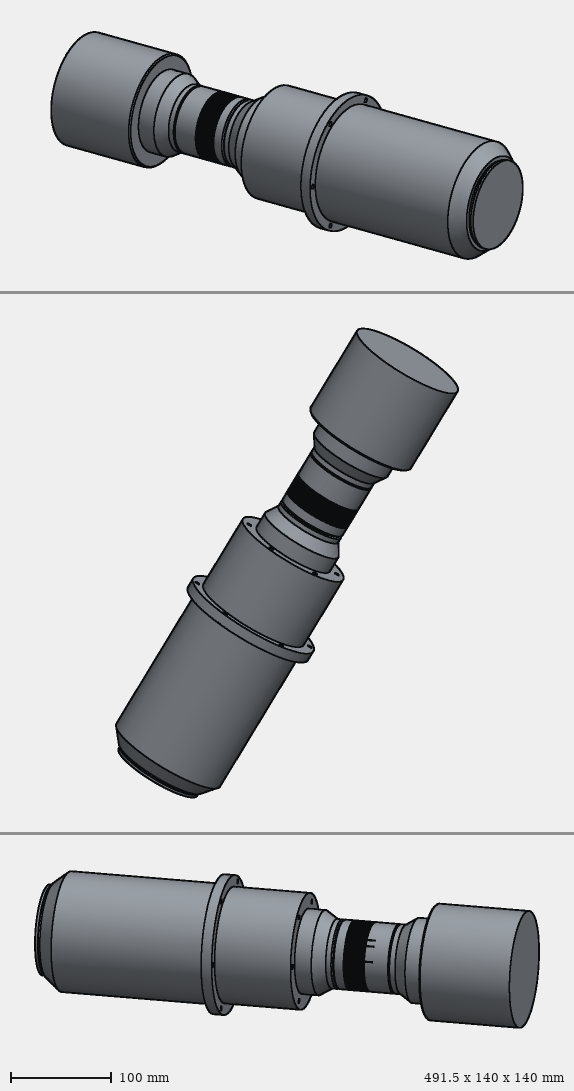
import cadquery as cq

length = 491.5
head_end = 93.5
front_cone_start = 111.5
front_cone_end = 124.0
knurl_start = 155.5
knurl_end = 177.0
rear_cone_start = 195.0
rear_cone_end = 208.0
shoulder = 225.0
flange_start = 303.0
flange_end = 314.0
nose_start = 470.5
nose_end = 485.5
end_disc_start = 488.5

head_radius = 58.5
collar_radius = 42.5
neck_radius = 35.0
front_body_radius = head_radius
flange_radius = 70.0
rear_body_radius = 60.5
nose_tip_radius = 48.5
end_neck_radius = 44.0
end_disc_radius = 45.5

head_chamfer = 1.5
seam_start = 129.5
seam_width = 1.5
seam_depth = 0.5
groove_start = 186.5
groove_width = 3.0
groove_depth = 1.5

knurl_notch_count = 120
knurl_notch_width = 1.0
knurl_notch_depth = 0.5

mark_angles = (43, 54, 80)
mark_start = 147.5
mark_width = 0.5
mark_depth = 0.5

holes_per_ring = 6
flange_hole_circle = 65.0
flange_hole_diameter = 4.5
shoulder_hole_circle = 50.5
shoulder_hole_diameter = 4.5
shoulder_hole_depth = 10.0


def turned_body():
    """Revolve the stepped outline about the X axis."""
    outline = [
        (0, 0),
        (0, head_radius),
        (head_end - head_chamfer, head_radius),
        (head_end, head_radius - head_chamfer),
        (head_end, collar_radius),
        (front_cone_start, collar_radius),
        (front_cone_end, neck_radius),
        (groove_start, neck_radius),
        (groove_start + groove_width / 2, neck_radius - groove_depth),
        (groove_start + groove_width, neck_radius),
        (rear_cone_start, neck_radius),
        (rear_cone_end, collar_radius),
        (shoulder, collar_radius),
        (shoulder, front_body_radius),
        (flange_start, front_body_radius),
        (flange_start, flange_radius),
        (flange_end, flange_radius),
        (flange_end, rear_body_radius),
        (nose_start, rear_body_radius),
        (nose_end, nose_tip_radius),
        (nose_end, end_neck_radius),
        (end_disc_start, end_neck_radius),
        (end_disc_start, end_disc_radius),
        (length, end_disc_radius),
        (length, 0),
    ]
    return cq.Workplane("XY").polyline(outline).close().revolve(360, (0, 0, 0), (1, 0, 0))


def cross_plane(x):
    """Workplane across the axis at station x, facing +X."""
    return cq.Workplane("YZ", origin=(x, 0, 0))


def seam_groove():
    """Ring that cuts a shallow square groove around the neck."""
    seam_floor_radius = neck_radius - seam_depth
    return cross_plane(seam_start).circle(collar_radius).circle(seam_floor_radius).extrude(seam_width)


def knurl_notches():
    """Full circle of bars that cut fine lengthwise notches into the neck."""
    return (
        cross_plane(knurl_start)
        .polarArray(neck_radius, 0, 360, knurl_notch_count)
        .rect(2 * knurl_notch_depth, knurl_notch_width)
        .extrude(knurl_end - knurl_start)
    )


def index_mark(angle):
    """Thin bar that cuts one line along the neck."""
    bar = cq.Workplane("XY").box(
        knurl_start - mark_start, mark_width, 2 * mark_depth, centered=(False, True, True)
    )
    return bar.translate((mark_start, 0, neck_radius)).rotate((0, 0, 0), (1, 0, 0), -angle)


def hole_ring(start, circle_radius, diameter, depth):
    """Ring of round cutters, the first one on the +Y side."""
    return (
        cross_plane(start)
        .polarArray(circle_radius, 0, 360, holes_per_ring)
        .circle(diameter / 2)
        .extrude(depth)
    )


result = turned_body()
result = result.cut(seam_groove())
result = result.cut(knurl_notches())
for mark_angle in mark_angles:
    result = result.cut(index_mark(mark_angle))
flange_thickness = flange_end - flange_start
result = result.cut(
    hole_ring(flange_start, flange_hole_circle, flange_hole_diameter, flange_thickness)
)
result = result.cut(
    hole_ring(shoulder, shoulder_hole_circle, shoulder_hole_diameter, shoulder_hole_depth)
)